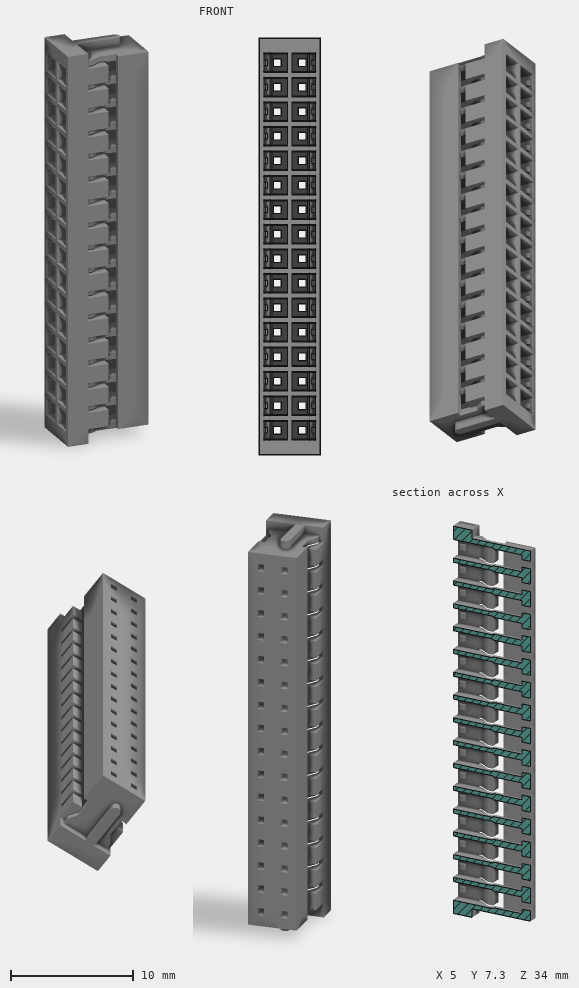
import cadquery as cq

HEIGHT = 34.0
DEPTH = 7.3
FLANGE_WIDTH = 5.0
ROWS = 16
PITCH = HEIGHT / (ROWS + 1)
COLUMN_OFFSET = PITCH / 2

END_STEP = 0.75
FLANGE_DEPTH = 1.8
TAB_DEPTH = 3.6
TAB_HEIGHT = 1.43
HEAD_HALF = 2.1
HEAD_START = 4.7
HEAD_LIP = 0.1
NECK_HALF = 1.6
SLOPE_START = 2.3
SLOPE_END = 3.1

RAIL_WIDTH = 0.8
RAIL_X = -0.48
RAIL_END = 5.8

CELL_HEIGHT = 1.6
CELL_INNER = 0.17
CELL_DEPTH = 3.75
REAR_OUTER = 1.45
REAR_DEPTH = 6.45
PIN_HOLE = 0.6

BUMP_HEIGHT = 0.48
BUMP_START = 0.2
BUMP_CREST_START = 0.4
BUMP_END = 0.8
BUMP_NOSE_RISE = 0.15
BUMP_RISE = 0.3

FLANGE_HALF = FLANGE_WIDTH / 2
ROW_HEIGHTS = [PITCH * (row + 1) for row in range(ROWS)]


def box(x_min, x_max, y_min, y_max, z_min, z_max):
    size = (x_max - x_min, y_max - y_min, z_max - z_min)
    return cq.Workplane("XY").box(*size, centered=False).translate((x_min, y_min, z_min))


def both_sides(half):
    return half.union(half.mirror("YZ"))


def prism(points, z_min, z_max):
    return cq.Workplane("XY").workplane(offset=z_min).polyline(points).close().extrude(z_max - z_min)


def core():
    """Spine with a waisted neck and a wider head behind it."""
    right = [
        (HEAD_HALF, 0),
        (HEAD_HALF, SLOPE_START),
        (NECK_HALF, SLOPE_END),
        (NECK_HALF, HEAD_START),
        (HEAD_HALF, HEAD_START - HEAD_LIP),
        (HEAD_HALF, DEPTH),
    ]
    left = [(-x, y) for x, y in reversed(right)]
    return prism(right + left, END_STEP, HEIGHT - END_STEP)


def rail():
    """Full-height rail with a rounded rear end."""
    radius = RAIL_WIDTH / 2
    straight_end = RAIL_END - radius
    return (
        cq.Workplane("XY")
        .moveTo(RAIL_X - radius, 0)
        .lineTo(RAIL_X + radius, 0)
        .lineTo(RAIL_X + radius, straight_end)
        .threePointArc((RAIL_X, RAIL_END), (RAIL_X - radius, straight_end))
        .close()
        .extrude(HEIGHT)
    )


def flange():
    return box(-FLANGE_HALF, FLANGE_HALF, 0, FLANGE_DEPTH, 0, HEIGHT)


def tabs():
    """One wall across the full width at each contact row."""
    walls = cq.Workplane("XY")
    for z in ROW_HEIGHTS:
        walls.add(box(-FLANGE_HALF, FLANGE_HALF, 0, TAB_DEPTH, z - TAB_HEIGHT / 2, z + TAB_HEIGHT / 2))
    return walls.combine()


def latch_bump():
    """Ramped bump standing on the outer wall of the right-hand cavity."""
    return prism(
        [
            (HEAD_HALF, BUMP_START),
            (HEAD_HALF - BUMP_NOSE_RISE, BUMP_START),
            (HEAD_HALF - BUMP_RISE, BUMP_CREST_START),
            (HEAD_HALF - BUMP_RISE, BUMP_END),
            (HEAD_HALF, BUMP_END),
        ],
        -BUMP_HEIGHT / 2,
        BUMP_HEIGHT / 2,
    )


def cell():
    """Right-hand contact cavity, centred on z = 0.

    The tall front part follows the waist of the core. The lower rear part opens
    sideways behind the tab, and a square pin hole runs through the back wall.
    """
    half = CELL_HEIGHT / 2
    half_rear = TAB_HEIGHT / 2
    half_pin = PIN_HOLE / 2
    front = prism(
        [
            (CELL_INNER, 0),
            (HEAD_HALF, 0),
            (HEAD_HALF, SLOPE_START),
            (NECK_HALF, SLOPE_END),
            (NECK_HALF, CELL_DEPTH),
            (CELL_INNER, CELL_DEPTH),
        ],
        -half,
        half,
    )
    rear = box(CELL_INNER, REAR_OUTER, 0, REAR_DEPTH, -half_rear, half_rear)
    window = box(CELL_INNER, NECK_HALF, TAB_DEPTH, HEAD_START, -half_rear, half_rear)
    pin = box(COLUMN_OFFSET - half_pin, COLUMN_OFFSET + half_pin, 0, DEPTH, -half_pin, half_pin)
    return front.cut(latch_bump()).union(rear).union(window).union(pin)


def all_cells():
    """Two columns of cavities, one pair per row."""
    pair = both_sides(cell())
    cavities = cq.Workplane("XY")
    for z in ROW_HEIGHTS:
        cavities.add(pair.translate((0, 0, z)))
    return cavities.combine()


body = core().union(rail()).union(flange()).union(tabs())
result = body.cut(all_cells())